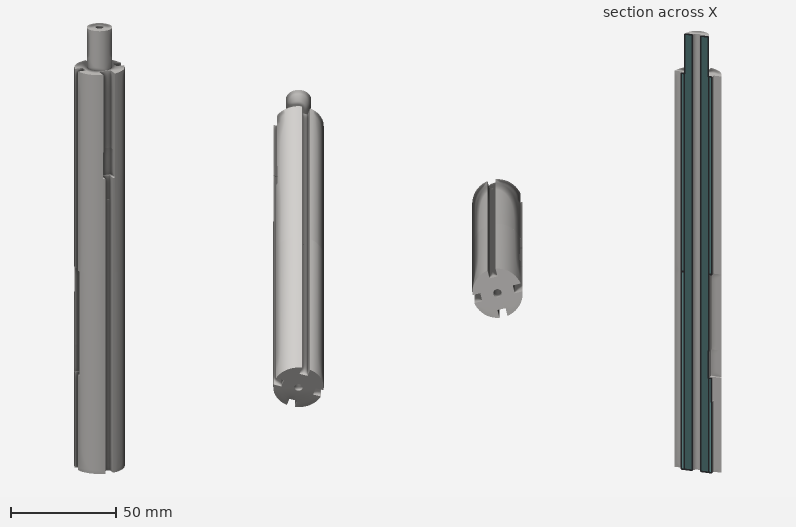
import cadquery as cq

total_length = 220.0
shaft_projection = 20.0
sleeve_count = 2
sleeve_length = (total_length - shaft_projection) / sleeve_count
sleeve_turn = 90.0

shaft_diameter = 12.0
shaft_bore_diameter = 4.0

sleeve_diameter = 24.0
groove_count = 4
groove_width = 4.0
groove_floor = 8.0

keyway_width = 6.0
keyway_floor = 6.4
keyway_length = 38.7

pocket_width = 6.4
pocket_floor = 6.2
pocket_length = 13.5

runout_floor = 7.5
runout_length = 11.9


def slot_cutter(floor, width, length):
    """Box on the -Y side, reaching down from the top end of a sleeve."""
    depth = sleeve_diameter / 2 - floor
    cutter = cq.Workplane("XY").box(width, depth, length, centered=(True, False, False))
    return cutter.translate((0, -sleeve_diameter / 2, sleeve_length - length))


def make_sleeve():
    """Sleeve standing on Z = 0 with its keyway facing -Y."""
    sleeve = (
        cq.Workplane("XY")
        .circle(sleeve_diameter / 2)
        .circle(shaft_diameter / 2)
        .extrude(sleeve_length)
    )
    groove = slot_cutter(groove_floor, groove_width, sleeve_length)
    for index in range(groove_count):
        sleeve = sleeve.cut(groove.rotate((0, 0, 0), (0, 0, 1), index * 360 / groove_count))

    pocket_bottom_depth = keyway_length + pocket_length
    pocket = slot_cutter(pocket_floor, pocket_width, pocket_length).translate((0, 0, -keyway_length))
    runout = slot_cutter(runout_floor, groove_width, runout_length).translate((0, 0, -pocket_bottom_depth))
    sleeve = sleeve.cut(slot_cutter(keyway_floor, keyway_width, keyway_length))
    return sleeve.cut(pocket).cut(runout)


def make_shaft():
    """Hollow shaft running the full length and projecting above the sleeves."""
    return (
        cq.Workplane("XY")
        .circle(shaft_diameter / 2)
        .circle(shaft_bore_diameter / 2)
        .extrude(total_length)
    )


sleeves = []
for level in range(sleeve_count):
    sleeve = make_sleeve().rotate((0, 0, 0), (0, 0, 1), level * sleeve_turn)
    sleeves.append(sleeve.translate((0, 0, level * sleeve_length)).val())

shaft = make_shaft()

result = cq.Compound.makeCompound([*sleeves, shaft.val()])